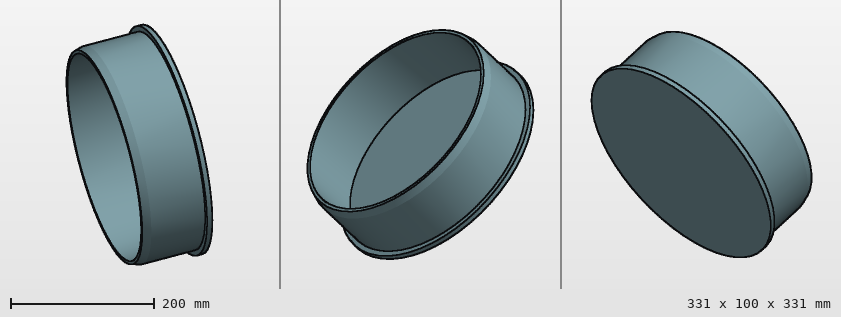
import cadquery as cq

flange_diameter = 331.0
body_diameter = 315.0
bore_diameter = 299.0
total_depth = 100.0
flange_thickness = 8.0

wall_thickness = (body_diameter - bore_diameter) / 2
floor_thickness = wall_thickness

taper_length = 12.2
taper_inset = 3.3

open_end = -total_depth / 2
closed_end = total_depth / 2
floor_face = closed_end - floor_thickness
flange_face = closed_end - flange_thickness
flange_radius = flange_diameter / 2
body_radius = body_diameter / 2
bore_radius = bore_diameter / 2

half_section = (
    cq.Workplane("XY")
    .moveTo(0, closed_end)
    .lineTo(flange_radius, closed_end)
    .lineTo(flange_radius, flange_face)
    .lineTo(body_radius, flange_face)
    .lineTo(body_radius, open_end + taper_length)
    .lineTo(body_radius - taper_inset, open_end)
    .lineTo(bore_radius, open_end)
    .lineTo(bore_radius, floor_face)
    .lineTo(0, floor_face)
    .close()
)

result = half_section.revolve(360, (0, 0, 0), (0, 1, 0))